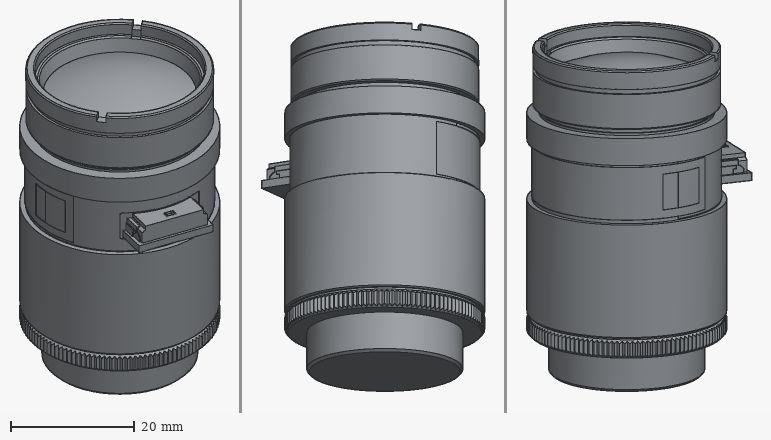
import cadquery as cq
import math

BODY_R = 16.25
FRONT_RING_R = 15.3
O_RING_GROOVE_R = 14.85
NECK_R = 13.95
NECK_COLLAR_R = 14.3
GRIP_R = 15.4
KNURL_NECK_R = 15.65
MOUNT_R = 12.7

TOP_Z = 54.75
GROOVE_TOP_Z = 51.7
GROOVE_BOTTOM_Z = 50.9
RING_BOTTOM_Z = 44.9
COLLAR_TOP_Z = 44.1
BAND_TOP_Z = 43.7
BAND_BOTTOM_Z = 39.15
BODY_TOP_Z = 29.15
BODY_BOTTOM_Z = 9.95
KNURL_TOP_Z = 9.65
KNURL_BOTTOM_Z = 6.55

EDGE_CHAMFER = 0.2
KNURL_CHAMFER = 0.55
MOUNT_CHAMFER = 0.45

BORE_R = 13.8
BORE_CHAMFER = 0.2
LEDGE_INNER_R = 13.35
LEDGE_CHAMFER = 0.3
LEDGE_DEPTH = 2.1
LEDGE_Z = TOP_Z - LEDGE_DEPTH
LENS_R = 12.45
LENS_EDGE_DEPTH = 4.65
LENS_EDGE_Z = TOP_Z - LENS_EDGE_DEPTH
LENS_RISE = 2.6

NOTCH_ANGLE = -40.0
NOTCH_WIDTH = 1.55
RIM_NOTCH_DEPTH = 1.1
LEDGE_NOTCH_DEPTH = 0.35

KNURL_COUNT = 120
KNURL_DEPTH = 0.4
KNURL_CUT_MARGIN = 0.55

COVER_R = 15.45
COVER_ANGLES = (-80.0, 169.4)
COVER_GAP = 0.15
SKIN_OVERLAP = 0.55
SKIN_ROOT_R = GRIP_R - SKIN_OVERLAP
LABEL_R = 15.5
LABEL_ANGLES = (153.2, 302.4)
LABEL_BOTTOM_Z = 29.75
LABEL_TOP_Z = 38.6
WINDOW_X = (-0.1, 6.9)
WINDOW_Z = (31.15, 37.2)

POCKET_FLOOR_R = 15.2
POCKET_HALF_WIDTH = 7.35
POCKET_Z = (31.6, 36.6)
POCKET_CORNER_R = 0.4
ROOT_X = 12.05
OVERALL_LENGTH_X = 35.45
PLATE_X = OVERALL_LENGTH_X - BODY_R
PLATE_HALF_WIDTH = 6.85
PLATE_BOTTOM_Z = 31.9
PLATE_TOP_Z = 33.2
SOCKET_X = 18.7
SOCKET_TOP_Z = 36.25
SOCKET_HALF_WIDTH = 5.35
SHOULDER_HALF_WIDTH = 6.0
SHOULDER_Z = (35.15, 35.55)
MID_RAIL_HALF_WIDTH = 6.2
MID_RAIL_HEAD_X = 17.1
MID_RAIL_LEDGE = 0.35
MID_RAIL_FOOT_X = 18.1
MID_RAIL_TOP_Z = 35.45
MID_RAIL_STEP_Z = 34.45
MID_RAIL_FOOT_Z = 33.85
OUTER_RAIL_HALF_WIDTH = 6.4
OUTER_RAIL_HEAD_X = 16.65
OUTER_RAIL_FOOT_X = 16.1
OUTER_RAIL_TOP_Z = 34.55
OUTER_RAIL_STEP_Z = 34.0
KEY_X = (16.55, 17.65)
KEY_STEPS = ((0.8, 0.2), (0.45, 0.45))


def ring_sector(inner_r, outer_r, angles, bottom_z, top_z):
    """Part of a tube between two angles in degrees."""
    start, end = (math.radians(a) for a in angles)
    middle = (start + end) / 2

    def at(radius, angle):
        return (radius * math.cos(angle), radius * math.sin(angle))

    return (
        cq.Workplane("XY", origin=(0, 0, bottom_z))
        .moveTo(*at(inner_r, start))
        .lineTo(*at(outer_r, start))
        .threePointArc(at(outer_r, middle), at(outer_r, end))
        .lineTo(*at(inner_r, end))
        .threePointArc(at(inner_r, middle), at(inner_r, start))
        .close()
        .extrude(top_z - bottom_z)
    )


def block(x_range, y_range, z_range):
    """Box given by its limits along each axis."""
    (x0, x1), (y0, y1), (z0, z1) = x_range, y_range, z_range
    return cq.Workplane("XY").box(x1 - x0, y1 - y0, z1 - z0, centered=False).translate((x0, y0, z0))


def lens_point(radius):
    """Point of the spherical lens face at a distance from the axis."""
    sphere_r = (LENS_R**2 + LENS_RISE**2) / (2 * LENS_RISE)
    center_z = LENS_EDGE_Z + LENS_RISE - sphere_r
    return (radius, center_z + math.sqrt(sphere_r**2 - radius**2))


def barrel():
    """Turned lens barrel, including the front bore and the domed lens."""
    return (
        cq.Workplane("XZ")
        .moveTo(0, 0)
        .lineTo(MOUNT_R - MOUNT_CHAMFER, 0)
        .lineTo(MOUNT_R, MOUNT_CHAMFER)
        .lineTo(MOUNT_R, KNURL_BOTTOM_Z)
        .lineTo(BODY_R - KNURL_CHAMFER, KNURL_BOTTOM_Z)
        .lineTo(BODY_R, KNURL_BOTTOM_Z + KNURL_CHAMFER)
        .lineTo(BODY_R, KNURL_TOP_Z - KNURL_CHAMFER)
        .lineTo(KNURL_NECK_R, KNURL_TOP_Z)
        .lineTo(KNURL_NECK_R, BODY_BOTTOM_Z)
        .lineTo(BODY_R - EDGE_CHAMFER, BODY_BOTTOM_Z)
        .lineTo(BODY_R, BODY_BOTTOM_Z + EDGE_CHAMFER)
        .lineTo(BODY_R, BODY_TOP_Z)
        .lineTo(GRIP_R, BODY_TOP_Z)
        .lineTo(GRIP_R, BAND_BOTTOM_Z)
        .lineTo(BODY_R, BAND_BOTTOM_Z)
        .lineTo(BODY_R, BAND_TOP_Z)
        .lineTo(NECK_COLLAR_R, BAND_TOP_Z)
        .lineTo(NECK_COLLAR_R, COLLAR_TOP_Z)
        .lineTo(NECK_R, COLLAR_TOP_Z)
        .lineTo(NECK_R, RING_BOTTOM_Z)
        .lineTo(FRONT_RING_R - EDGE_CHAMFER, RING_BOTTOM_Z)
        .lineTo(FRONT_RING_R, RING_BOTTOM_Z + EDGE_CHAMFER)
        .lineTo(FRONT_RING_R, GROOVE_BOTTOM_Z)
        .lineTo(O_RING_GROOVE_R, GROOVE_BOTTOM_Z)
        .lineTo(O_RING_GROOVE_R, GROOVE_TOP_Z)
        .lineTo(FRONT_RING_R, GROOVE_TOP_Z)
        .lineTo(FRONT_RING_R, TOP_Z - EDGE_CHAMFER)
        .lineTo(FRONT_RING_R - EDGE_CHAMFER, TOP_Z)
        .lineTo(BORE_R + BORE_CHAMFER, TOP_Z)
        .lineTo(BORE_R, TOP_Z - BORE_CHAMFER)
        .lineTo(BORE_R, LEDGE_Z)
        .lineTo(LEDGE_INNER_R, LEDGE_Z)
        .lineTo(LEDGE_INNER_R - LEDGE_CHAMFER, LEDGE_Z - LEDGE_CHAMFER)
        .lineTo(LENS_R, LENS_EDGE_Z)
        .threePointArc(lens_point(LENS_R / 2), lens_point(0))
        .close()
        .revolve(360, (0, 0, 0), (0, 1, 0))
    )


def wrench_notches():
    """Slots across the rim, with shallow ones across the inner ledge."""
    half = NOTCH_WIDTH / 2
    across = (-BODY_R, BODY_R)
    rim = block(across, (-half, half), (TOP_Z - RIM_NOTCH_DEPTH, TOP_Z))
    ledge = (
        block((-BORE_R, BORE_R), (-half, half), (LEDGE_Z - LEDGE_NOTCH_DEPTH, TOP_Z))
        .cut(cq.Workplane("XY").circle(LENS_R).extrude(TOP_Z))
    )
    return rim.union(ledge).rotate((0, 0, 0), (0, 0, 1), NOTCH_ANGLE)


def knurl_grooves():
    """V-shaped grooves around the ring, touching each other at the crests."""
    pitch_angle = 2 * math.pi / KNURL_COUNT
    root_r = BODY_R - KNURL_DEPTH
    points = []
    for i in range(KNURL_COUNT):
        for radius, angle in ((BODY_R, i * pitch_angle), (root_r, (i + 0.5) * pitch_angle)):
            points.append((radius * math.cos(angle), radius * math.sin(angle)))
    height = KNURL_TOP_Z - KNURL_BOTTOM_Z
    base = cq.Workplane("XY", origin=(0, 0, KNURL_BOTTOM_Z))
    toothed = base.polyline(points).close().extrude(height)
    return base.circle(BODY_R + KNURL_CUT_MARGIN).extrude(height).cut(toothed)


def grip_cover():
    """Thin skin around the part of the grip zone opposite the label."""
    return ring_sector(SKIN_ROOT_R, COVER_R, COVER_ANGLES, BODY_TOP_Z + COVER_GAP, BAND_BOTTOM_Z)


def label():
    """Thin curved scale label with a rectangular window."""
    strip = ring_sector(SKIN_ROOT_R, LABEL_R, LABEL_ANGLES, LABEL_BOTTOM_Z, LABEL_TOP_Z)
    return strip.cut(block(WINDOW_X, (-BODY_R, 0), WINDOW_Z))


def connector_pocket():
    """Shallow rounded recess of the grip zone around the connector."""
    width = 2 * POCKET_HALF_WIDTH
    bottom, top = POCKET_Z
    outline = (
        cq.Workplane("YZ", origin=(0, 0, (bottom + top) / 2))
        .rect(width, top - bottom)
        .extrude(BODY_R)
        .edges("|X")
        .fillet(POCKET_CORNER_R)
    )
    core = cq.Workplane("XY").circle(POCKET_FLOOR_R).extrude(TOP_Z)
    return outline.cut(core)


def rail(outline, half_width):
    """Prism with an XZ outline, centred on the connector."""
    return cq.Workplane("XZ").polyline(outline).close().extrude(half_width, both=True)


def connector():
    """Base plate, socket with sloped shoulders, and stepped side rails."""
    plate = block(
        (ROOT_X, PLATE_X), (-PLATE_HALF_WIDTH, PLATE_HALF_WIDTH), (PLATE_BOTTOM_Z, PLATE_TOP_Z)
    )
    shoulder_edge_z, shoulder_root_z = SHOULDER_Z
    right_side = [
        (SHOULDER_HALF_WIDTH, PLATE_TOP_Z),
        (SHOULDER_HALF_WIDTH, shoulder_edge_z),
        (SOCKET_HALF_WIDTH, shoulder_root_z),
        (SOCKET_HALF_WIDTH, SOCKET_TOP_Z),
    ]
    left_side = [(-y, z) for y, z in reversed(right_side)]
    socket = (
        cq.Workplane("YZ", origin=(ROOT_X, 0, 0))
        .polyline(right_side + left_side)
        .close()
        .extrude(SOCKET_X - ROOT_X)
    )
    for half_width, depth in KEY_STEPS:
        floor_z = SOCKET_TOP_Z - depth
        socket = socket.cut(block(KEY_X, (-half_width, half_width), (floor_z, SOCKET_TOP_Z)))

    mid_rail = rail(
        [
            (ROOT_X, PLATE_TOP_Z),
            (MID_RAIL_FOOT_X, PLATE_TOP_Z),
            (MID_RAIL_FOOT_X, MID_RAIL_FOOT_Z),
            (MID_RAIL_HEAD_X + MID_RAIL_LEDGE, MID_RAIL_STEP_Z),
            (MID_RAIL_HEAD_X, MID_RAIL_STEP_Z),
            (MID_RAIL_HEAD_X, MID_RAIL_TOP_Z),
            (ROOT_X, MID_RAIL_TOP_Z),
        ],
        MID_RAIL_HALF_WIDTH,
    )
    outer_rail = rail(
        [
            (ROOT_X, PLATE_TOP_Z),
            (OUTER_RAIL_FOOT_X, PLATE_TOP_Z),
            (OUTER_RAIL_FOOT_X, OUTER_RAIL_STEP_Z),
            (OUTER_RAIL_HEAD_X, OUTER_RAIL_STEP_Z),
            (OUTER_RAIL_HEAD_X, OUTER_RAIL_TOP_Z),
            (ROOT_X, OUTER_RAIL_TOP_Z),
        ],
        OUTER_RAIL_HALF_WIDTH,
    )
    return plate.union(socket).union(mid_rail).union(outer_rail)


result = (
    barrel()
    .cut(wrench_notches())
    .cut(knurl_grooves())
    .union(grip_cover())
    .union(label())
    .cut(connector_pocket())
    .union(connector())
)